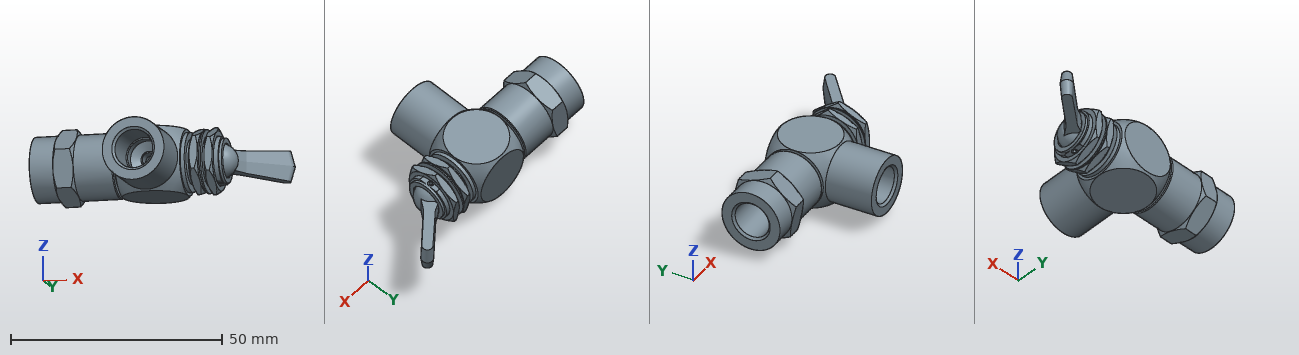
import cadquery as cq
import math


BLOCK_LENGTH = 15.8
BLOCK_WIDTH = 16.65
BLOCK_HEIGHT = 15.75
CORNER_SPHERE_R = 11.15
OUTLET_END_Y = -20.7
OUTLET_R = 7.55
CHAMBER_R = 3.2
SEAT_FOOT_R = 2.05
SEAT_R = 1.6

PORT_MOUTH_R = 5.2
PORT_R = 4.6
PORT_DEPTH = 10.8
DRILL_R = 4.25
DRILL_DEPTH = 13.5
DRILL_TIP_ANGLE = 118

CONNECTOR_START_X = -28.9
CONNECTOR_END_X = -8.5
CONNECTOR_R = BLOCK_HEIGHT / 2
CONNECTOR_CHAMFER = 0.25
NECK_R = 6.3
INLET_HOLE_R = 2.4
CONNECTOR_HEX_X = -23.15
CONNECTOR_HEX_LENGTH = 5.05
CONNECTOR_HEX_FLATS = 15.9
CONNECTOR_HEX_TURN = 10

FLANGE_R = 7.15
FLANGE_END_X = 8.9
RELIEF_R = 5.45
RELIEF_END_X = 9.5
THREAD_DIAMETER = 11.95
THREAD_R = THREAD_DIAMETER / 2
THREAD_CHAMFER = 0.2
THREAD_END_X = 16.85
NOSE_R = 5.4
NOSE_END_X = 17.5
FLATS_HEIGHT = 10.7

NUT_FLATS = 14.3
NUT_LENGTH = 2.05
NUT_FACE_R = 7.15
NUT_PLACES = [(10.0, -9), (13.7, -4.3)]
HEX_CHAMFER_ANGLE = 30
WASHER_X = 12.6
WASHER_THICKNESS = 0.35
WASHER_R = 7.6

PIVOT_X = 15.95
BALL_R = 4.15
PIN_R = 0.8
PIN_HOLE_R = 0.4
LEVER_ANGLE = 40.2
LEVER_ROOT = 2.4
LEVER_BEND = 6.05
LEVER_TIP_CENTRE = 17.75
LEVER_HALF_THICKNESS = 1.55
LEVER_FLARE_ANGLE = 13
DRAFT_HEIGHT = 4.2
SIDE_INSET = 0.3
TIP_INSET = 1.25
LEVER_PIVOT_HALF_HEIGHT = 2.2
LEVER_SPREAD_ANGLE = 4.75
FACE_CLEARANCE = 0.05

block_half_length = BLOCK_LENGTH / 2


def cylinder_x(start, end, radius):
    """Solid cylinder along X between two X positions."""
    return cq.Workplane("YZ", origin=(start, 0, 0)).circle(radius).extrude(end - start)


def revolve_x(profile):
    """Closed (x, radius) outline revolved about the X axis."""
    return cq.Workplane("XY").polyline(profile).close().revolve(360, (0, 0, 0), (1, 0, 0))


def hexagon(start, length, flats, face_radius, turn):
    """Hexagonal prism along X, both ends chamfered by a cone that starts at face_radius.

    A corner points to +Z when turn is 0; a positive turn leans that corner toward -Y.
    """
    corner_r = flats / 2 / math.cos(math.radians(30))
    chamfer = (corner_r - face_radius) * math.tan(math.radians(HEX_CHAMFER_ANGLE))
    end = start + length
    prism = (
        cq.Workplane("YZ", origin=(start, 0, 0))
        .polygon(6, 2 * corner_r)
        .extrude(length)
        .rotate((0, 0, 0), (1, 0, 0), 90 + turn)
    )
    envelope = revolve_x([
        (start, 0),
        (start, face_radius),
        (start + chamfer, corner_r),
        (end - chamfer, corner_r),
        (end, face_radius),
        (end, 0),
    ])
    return prism.intersect(envelope)


def port_cone_depth(floor_radius):
    """Axial length of the drill cone between the drilled hole and its floor."""
    return (DRILL_R - floor_radius) / math.tan(math.radians(DRILL_TIP_ANGLE / 2))


def port_cutter(floor_radius):
    """Port cavity opening at X = 0 and running along +X to a floor of the given radius."""
    return revolve_x([
        (0, 0),
        (0, PORT_MOUTH_R),
        (PORT_MOUTH_R - PORT_R, PORT_R),
        (PORT_DEPTH, PORT_R),
        (PORT_DEPTH, DRILL_R),
        (DRILL_DEPTH, DRILL_R),
        (DRILL_DEPTH + port_cone_depth(floor_radius), floor_radius),
        (DRILL_DEPTH + port_cone_depth(floor_radius), 0),
    ])


def make_block():
    body = cq.Workplane("XY").box(BLOCK_LENGTH, BLOCK_WIDTH, BLOCK_HEIGHT)
    body = body.intersect(cq.Workplane("XY").sphere(CORNER_SPHERE_R))
    outlet = cq.Workplane("XZ").circle(OUTLET_R).extrude(-OUTLET_END_Y)
    body = body.union(outlet)

    port = port_cutter(SEAT_FOOT_R)
    port = port.rotate((0, 0, 0), (0, 0, 1), 90).translate((0, OUTLET_END_Y, 0))
    floor_y = OUTLET_END_Y + DRILL_DEPTH + port_cone_depth(SEAT_FOOT_R)
    seat_top_y = floor_y - (SEAT_FOOT_R - SEAT_R)
    seat = (
        cq.Workplane("XY")
        .polyline([(0, floor_y), (SEAT_FOOT_R, floor_y), (SEAT_R, seat_top_y), (0, seat_top_y)])
        .close()
        .revolve(360, (0, 0, 0), (0, 1, 0))
    )
    body = body.cut(port.cut(seat))

    passage = cq.Workplane("XZ").circle(SEAT_R).extrude(-OUTLET_END_Y)
    chamber = cylinder_x(-block_half_length, block_half_length, CHAMBER_R)
    return body.cut(passage).cut(chamber)


def make_connector():
    sleeve = cylinder_x(CONNECTOR_START_X, CONNECTOR_END_X, CONNECTOR_R)
    sleeve = sleeve.faces(">X").chamfer(CONNECTOR_CHAMFER)
    neck = cylinder_x(CONNECTOR_END_X, -block_half_length, NECK_R)
    hexagon_grip = hexagon(
        CONNECTOR_HEX_X, CONNECTOR_HEX_LENGTH, CONNECTOR_HEX_FLATS, CONNECTOR_R, CONNECTOR_HEX_TURN
    )
    port = port_cutter(INLET_HOLE_R).translate((CONNECTOR_START_X, 0, 0))
    through_hole = cylinder_x(CONNECTOR_START_X, -block_half_length, INLET_HOLE_R)
    return sleeve.union(neck).union(hexagon_grip).cut(port).cut(through_hole)


def pin_cylinder(radius):
    """Cylinder along Z through the pivot, from flat to flat of the bushing."""
    return (
        cq.Workplane("XY", origin=(PIVOT_X, 0, -FLATS_HEIGHT / 2))
        .circle(radius)
        .extrude(FLATS_HEIGHT)
    )


def make_bushing():
    flange = cylinder_x(block_half_length, FLANGE_END_X, FLANGE_R)
    stem = revolve_x([
        (FLANGE_END_X, 0),
        (FLANGE_END_X, RELIEF_R),
        (RELIEF_END_X, RELIEF_R),
        (RELIEF_END_X, THREAD_R - THREAD_CHAMFER),
        (RELIEF_END_X + THREAD_CHAMFER, THREAD_R),
        (THREAD_END_X, THREAD_R),
        (THREAD_END_X, NOSE_R),
        (NOSE_END_X, NOSE_R),
        (NOSE_END_X, 0),
    ])
    stem_length = NOSE_END_X - FLANGE_END_X
    between_flats = cq.Workplane("XY", origin=(FLANGE_END_X + stem_length / 2, 0, 0)).box(
        stem_length, 2 * THREAD_R, FLATS_HEIGHT
    )
    ball_bore = cylinder_x(PIVOT_X - BALL_R, NOSE_END_X, BALL_R)
    return flange.union(stem.intersect(between_flats)).cut(ball_bore).cut(pin_cylinder(PIN_R))


def make_nut(start, turn):
    nut = hexagon(start, NUT_LENGTH, NUT_FLATS, NUT_FACE_R, turn)
    return nut.cut(cylinder_x(start, start + NUT_LENGTH, THREAD_R))


def make_washer():
    end = WASHER_X + WASHER_THICKNESS
    return cylinder_x(WASHER_X, end, WASHER_R).cut(cylinder_x(WASHER_X, end, THREAD_R))


def lever_outline(plane, half_thickness, tip_centre):
    """Side outline of the handle: flared root, straight shank and round tip."""
    flare = (LEVER_BEND - LEVER_ROOT) * math.tan(math.radians(LEVER_FLARE_ANGLE))
    root_half = half_thickness + flare
    return (
        plane.moveTo(LEVER_ROOT, -root_half)
        .lineTo(LEVER_BEND, -half_thickness)
        .lineTo(tip_centre, -half_thickness)
        .threePointArc((tip_centre + half_thickness, 0), (tip_centre, half_thickness))
        .lineTo(LEVER_BEND, half_thickness)
        .lineTo(LEVER_ROOT, root_half)
        .close()
    )


def make_handle():
    """Handle along +X from the pivot: thinner away from Z = 0 and taller toward the tip."""
    middle = lever_outline(cq.Workplane("XY"), LEVER_HALF_THICKNESS, LEVER_TIP_CENTRE)
    tip_centre_shift = TIP_INSET - SIDE_INSET
    upper_half = lever_outline(
        middle.workplane(offset=DRAFT_HEIGHT),
        LEVER_HALF_THICKNESS - SIDE_INSET,
        LEVER_TIP_CENTRE - tip_centre_shift,
    ).loft(ruled=True)
    both_halves = upper_half.union(upper_half.mirror("XY"))

    reach = LEVER_TIP_CENTRE + LEVER_HALF_THICKNESS
    end_half_height = LEVER_PIVOT_HALF_HEIGHT + reach * math.tan(math.radians(LEVER_SPREAD_ANGLE))
    spread = (
        cq.Workplane("XZ")
        .polyline([
            (0, -LEVER_PIVOT_HALF_HEIGHT),
            (reach, -end_half_height),
            (reach, end_half_height),
            (0, LEVER_PIVOT_HALF_HEIGHT),
        ])
        .close()
        .extrude(BALL_R, both=True)
    )
    return both_halves.intersect(spread)


def make_lever():
    handle = make_handle().rotate((0, 0, 0), (0, 0, 1), LEVER_ANGLE).translate((PIVOT_X, 0, 0))
    handle = handle.cut(cylinder_x(0, NOSE_END_X + FACE_CLEARANCE, THREAD_R))
    ball = cq.Workplane("XY").sphere(BALL_R).translate((PIVOT_X, 0, 0))
    return ball.union(handle).cut(pin_cylinder(PIN_R))


def make_pin():
    return pin_cylinder(PIN_R).cut(pin_cylinder(PIN_HOLE_R))


block = make_block()
connector = make_connector()
bushing = make_bushing()
nuts = [make_nut(start, turn) for start, turn in NUT_PLACES]
washer = make_washer()
lever = make_lever()
pin = make_pin()

result = cq.Compound.makeCompound([
    block.val(),
    connector.val(),
    bushing.val(),
    *[nut.val() for nut in nuts],
    washer.val(),
    lever.val(),
    pin.val(),
])